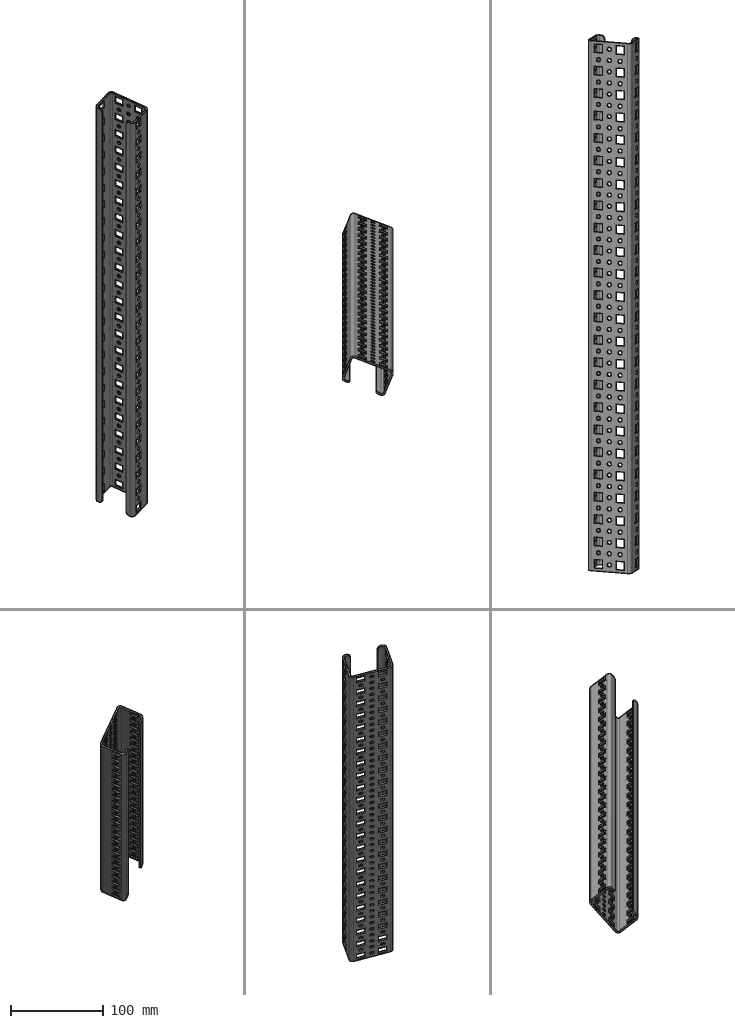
import cadquery as cq


WIDTH = 50.0
DEPTH = 30.5
LENGTH = 591.0
THICKNESS = 2.0
OUTER_BEND_RADIUS = 4.0
INNER_BEND_RADIUS = OUTER_BEND_RADIUS - THICKNESS
MOUTH_WIDTH = 31.0
LIP_CORNER_RADIUS = 5.0

HOLE_PITCH = 25.0
SQUARE_COUNT = 24
SQUARE_SIZE = 9.5
ROUND_DIAMETER = 4.5
WEB_ROW_X = 12.5
WALL_ROW_SETBACK = 11.0
WALL_ROW_Y = WALL_ROW_SETBACK - DEPTH / 2

FIRST_HOLE_Z = -HOLE_PITCH * (SQUARE_COUNT - 1) / 2
SQUARE_HEIGHTS = [FIRST_HOLE_Z + i * HOLE_PITCH for i in range(SQUARE_COUNT)]
BETWEEN_HEIGHTS = [z + HOLE_PITCH / 2 for z in SQUARE_HEIGHTS[:-1]]


def rounded_bar(width, depth, radius):
    """Full-length rectangular bar with rounded long edges."""
    return cq.Workplane("XY").box(width, depth, LENGTH).edges("|Z").fillet(radius)


def channel():
    """Folded C section: a tube of sheet with its front face slotted open."""
    outside = rounded_bar(WIDTH, DEPTH, OUTER_BEND_RADIUS)
    inside = rounded_bar(WIDTH - 2 * THICKNESS, DEPTH - 2 * THICKNESS, INNER_BEND_RADIUS)
    mouth = cq.Workplane("XY").box(MOUTH_WIDTH, DEPTH / 2, LENGTH)
    mouth = mouth.translate((0, -DEPTH / 2, 0))
    return outside.cut(inside).cut(mouth)


def round_lip_corners(rail):
    """Round the free corners of both lips at the two ends of the rail."""
    mouth_zone = cq.selectors.BoxSelector(
        (-WIDTH / 2, -DEPTH / 2, -LENGTH),
        (WIDTH / 2, THICKNESS - DEPTH / 2, LENGTH),
    )
    return rail.edges("|Y").edges(mouth_zone).fillet(LIP_CORNER_RADIUS)


def square_pins(plane, points, length):
    """Square cutters centred on the points, running along the plane normal."""
    return plane.pushPoints(points).rect(SQUARE_SIZE, SQUARE_SIZE).extrude(length)


def round_pins(plane, points, length):
    """Round cutters centred on the points, running along the plane normal."""
    return plane.pushPoints(points).circle(ROUND_DIAMETER / 2).extrude(length)


def punch_web(rail):
    """Side rows of alternating square and round holes, and a middle row of round holes."""
    plane = cq.Workplane("XZ")
    squares = [(x, z) for x in (-WEB_ROW_X, WEB_ROW_X) for z in SQUARE_HEIGHTS]
    rounds = [(x, z) for x in (-WEB_ROW_X, 0, WEB_ROW_X) for z in BETWEEN_HEIGHTS]
    rounds += [(0, z) for z in SQUARE_HEIGHTS]
    rail = rail.cut(square_pins(plane, squares, -DEPTH))
    return rail.cut(round_pins(plane, rounds, -DEPTH))


def punch_walls(rail):
    """One row of alternating square and round holes through both side walls."""
    plane = cq.Workplane("YZ", origin=(-WIDTH, 0, 0))
    squares = [(WALL_ROW_Y, z) for z in SQUARE_HEIGHTS]
    rounds = [(WALL_ROW_Y, z) for z in BETWEEN_HEIGHTS]
    rail = rail.cut(square_pins(plane, squares, 2 * WIDTH))
    return rail.cut(round_pins(plane, rounds, 2 * WIDTH))


result = punch_walls(punch_web(round_lip_corners(channel())))